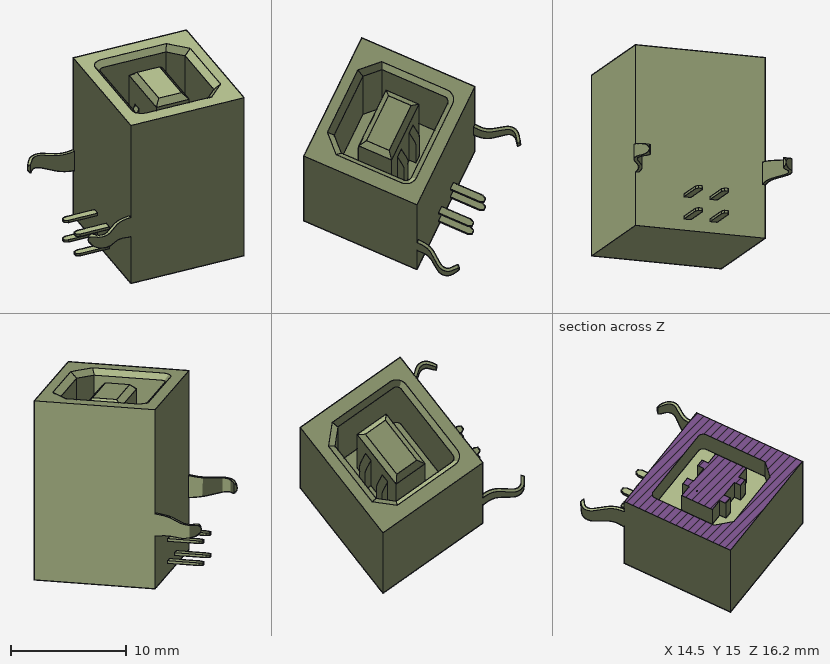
import cadquery as cq
import math

BODY_WIDTH = 12.0
BODY_DEPTH = 10.77
BODY_HEIGHT = 16.2
OVERALL_WIDTH = 14.48
OVERALL_DEPTH = 14.98

CAVITY_WIDTH = 8.45
CAVITY_FRONT = 1.57
CAVITY_BACK = 9.27
CAVITY_DEPTH = 10.0
CAVITY_CHAMFER = 1.25
CAVITY_RADIUS = 0.5
MOUTH_SIDE_FLARE = 0.49
MOUTH_BACK_FLARE = 0.57
MOUTH_CHAMFER = 1.55
MOUTH_DEPTH = 0.5
FLOOR_Z = BODY_HEIGHT - CAVITY_DEPTH

TONGUE_WIDTH = 5.65
TONGUE_FRONT = 3.87
TONGUE_BACK = 7.0
TONGUE_TOP = BODY_HEIGHT - 0.5
TONGUE_END_BEVEL = 0.55
TONGUE_SIDE_BEVEL = 0.49
TONGUE_BEVEL_HEIGHT = 0.5
TONGUE_MID_Y = (TONGUE_FRONT + TONGUE_BACK) / 2

CONTACT_SPACING = 2.43
CONTACT_X = (-CONTACT_SPACING / 2, CONTACT_SPACING / 2)
CONTACT_WIDTH = 0.8
CONTACT_PROJECTION = 0.63
CONTACT_TOP = 12.96
CONTACT_SLOPE = 71.0
CONTACT_SHOULDER_RADIUS = 2.92

PIN_LENGTH = 3.13
PIN_WIDTH = 0.65
PIN_THICKNESS = 0.25
PIN_TIP_LENGTH = 0.32
PIN_TIP_CHAMFER = 0.16
PIN_ROWS_Z = (1.12, 3.11)

CLIP_Z = 5.78
CLIP_THICKNESS = 0.29
CLIP_ROOT_HEIGHT = 2.0
CLIP_TIP_HEIGHT = 1.02
CLIP_REACH = OVERALL_DEPTH - BODY_DEPTH
CLIP_BULGE = (OVERALL_WIDTH - BODY_WIDTH) / 2
CLIP_TAPER_START = 0.06
CLIP_TIP_ROUND = 0.42
CLIP_ROOT_LENGTH = 0.47
CLIP_OUT_ANGLE = 37.0
CLIP_OUT_RADIUS = 1.8
CLIP_CREST_RADIUS = 1.05
CLIP_RETURN_ANGLE = 53.0
CLIP_RETURN_RADIUS = 0.9


def opening_outline(z, half_width, front, back, chamfer, radius):
    """Outline with two chamfered back corners and two round front corners."""
    mid = radius * (1 - math.sqrt(0.5))
    return (
        cq.Workplane("XY", origin=(0, 0, z))
        .moveTo(half_width - chamfer, back)
        .lineTo(half_width, back - chamfer)
        .lineTo(half_width, front + radius)
        .threePointArc((half_width - mid, front + mid), (half_width - radius, front))
        .lineTo(radius - half_width, front)
        .threePointArc((mid - half_width, front + mid), (-half_width, front + radius))
        .lineTo(-half_width, back - chamfer)
        .lineTo(chamfer - half_width, back)
        .close()
    )


def cavity():
    inner = (CAVITY_WIDTH / 2, CAVITY_FRONT, CAVITY_BACK, CAVITY_CHAMFER, CAVITY_RADIUS)
    outer = (
        CAVITY_WIDTH / 2 + MOUTH_SIDE_FLARE,
        CAVITY_FRONT - MOUTH_SIDE_FLARE,
        CAVITY_BACK + MOUTH_BACK_FLARE,
        MOUTH_CHAMFER,
        CAVITY_RADIUS + MOUTH_SIDE_FLARE,
    )
    mouth_bottom = BODY_HEIGHT - MOUTH_DEPTH
    well = opening_outline(FLOOR_Z, *inner).extrude(mouth_bottom - FLOOR_Z)
    mouth = cq.Solid.makeLoft(
        [
            opening_outline(mouth_bottom, *inner).wire().val(),
            opening_outline(BODY_HEIGHT, *outer).wire().val(),
        ],
        True,
    )
    return well.union(cq.Workplane(mouth))


def tongue():
    depth = TONGUE_BACK - TONGUE_FRONT
    bevel_bottom = TONGUE_TOP - TONGUE_BEVEL_HEIGHT
    shank = (
        cq.Workplane("XY", origin=(0, TONGUE_MID_Y, FLOOR_Z))
        .rect(TONGUE_WIDTH, depth)
        .extrude(bevel_bottom - FLOOR_Z)
    )
    bevel = (
        cq.Workplane("XY", origin=(0, TONGUE_MID_Y, bevel_bottom))
        .rect(TONGUE_WIDTH, depth)
        .workplane(offset=TONGUE_BEVEL_HEIGHT)
        .rect(TONGUE_WIDTH - 2 * TONGUE_END_BEVEL, depth - 2 * TONGUE_SIDE_BEVEL)
        .loft(ruled=True)
    )
    return shank.union(bevel)


def back_contact(x):
    """Rib on the back of the tongue with a steep top easing into its back face."""
    outer = TONGUE_BACK + CONTACT_PROJECTION
    drop = CONTACT_PROJECTION * math.tan(math.radians(CONTACT_SLOPE))
    rib = (
        cq.Workplane("YZ", origin=(x - CONTACT_WIDTH / 2, 0, 0))
        .moveTo(TONGUE_MID_Y, FLOOR_Z)
        .lineTo(outer, FLOOR_Z)
        .lineTo(outer, CONTACT_TOP - drop)
        .lineTo(TONGUE_BACK, CONTACT_TOP)
        .lineTo(TONGUE_MID_Y, CONTACT_TOP)
        .close()
        .extrude(CONTACT_WIDTH)
    )
    shoulder = cq.selectors.NearestToPointSelector((x, outer, CONTACT_TOP - drop))
    return rib.edges("|X").edges(shoulder).fillet(CONTACT_SHOULDER_RADIUS)


def pin(x, z):
    half = PIN_WIDTH / 2
    tip_half = half - PIN_TIP_CHAMFER
    shoulder = PIN_TIP_LENGTH - PIN_LENGTH
    return (
        cq.Workplane("XY", origin=(x, 0, z - PIN_THICKNESS / 2))
        .polyline([
            (-half, 0), (half, 0), (half, shoulder),
            (tip_half, -PIN_LENGTH), (-tip_half, -PIN_LENGTH), (-half, shoulder),
        ])
        .close()
        .extrude(PIN_THICKNESS)
    )


def left_clip():
    """Strip bent outwards, then back inwards, cut to a tapered outline."""

    def heading(degrees):
        """Unit vector at an angle from -Y, positive towards -X."""
        return cq.Vector(-math.sin(math.radians(degrees)), -math.cos(math.radians(degrees)))

    def outward(degrees):
        """Unit vector square to the heading, on the outer side of the strip."""
        return heading(degrees + 90)

    root = cq.Vector(-BODY_WIDTH / 2, 0)
    out_centre = root + cq.Vector(-CLIP_OUT_RADIUS, -CLIP_ROOT_LENGTH)
    out_end = out_centre - outward(CLIP_OUT_ANGLE) * CLIP_OUT_RADIUS
    crest_x = root.x - CLIP_BULGE
    crest_start_x = crest_x + CLIP_CREST_RADIUS + outward(CLIP_OUT_ANGLE).x * CLIP_CREST_RADIUS
    straight = (crest_start_x - out_end.x) / heading(CLIP_OUT_ANGLE).x
    crest_start = out_end + heading(CLIP_OUT_ANGLE) * straight
    crest_centre = crest_start - outward(CLIP_OUT_ANGLE) * CLIP_CREST_RADIUS
    return_centre = cq.Vector(crest_x + CLIP_RETURN_RADIUS, crest_centre.y)
    return_end = return_centre + outward(-CLIP_RETURN_ANGLE) * CLIP_RETURN_RADIUS
    tip_length = (return_end.y + CLIP_REACH) / -heading(-CLIP_RETURN_ANGLE).y
    tip = return_end + heading(-CLIP_RETURN_ANGLE) * tip_length

    def out_bend(degrees, inset):
        return out_centre - outward(degrees) * (CLIP_OUT_RADIUS + inset)

    def crest_bend(degrees, inset):
        return crest_centre + outward(degrees) * (CLIP_CREST_RADIUS - inset)

    def return_bend(degrees, inset):
        return return_centre + outward(degrees) * (CLIP_RETURN_RADIUS - inset)

    inner = CLIP_THICKNESS
    half_out = CLIP_OUT_ANGLE / 2
    half_return = CLIP_RETURN_ANGLE / 2
    inner_tip = tip - outward(-CLIP_RETURN_ANGLE) * inner
    inner_return = return_bend(-CLIP_RETURN_ANGLE, inner)
    inner_crest = crest_bend(CLIP_OUT_ANGLE, inner)
    inner_out = out_bend(CLIP_OUT_ANGLE, inner)
    strip = (
        cq.Workplane("XY", origin=(0, 0, CLIP_Z - CLIP_ROOT_HEIGHT / 2))
        .moveTo(root.x, root.y)
        .lineTo(root.x, -CLIP_ROOT_LENGTH)
        .threePointArc(out_bend(half_out, 0), out_end)
        .lineTo(crest_start.x, crest_start.y)
        .threePointArc(crest_bend(half_out, 0), crest_bend(0, 0))
        .threePointArc(return_bend(-half_return, 0), return_end)
        .lineTo(tip.x, tip.y)
        .lineTo(inner_tip.x, inner_tip.y)
        .lineTo(inner_return.x, inner_return.y)
        .threePointArc(return_bend(-half_return, inner), return_bend(0, inner))
        .threePointArc(crest_bend(half_out, inner), inner_crest)
        .lineTo(inner_out.x, inner_out.y)
        .threePointArc(out_bend(half_out, inner), out_bend(0, inner))
        .lineTo(root.x + inner, root.y)
        .close()
        .extrude(CLIP_ROOT_HEIGHT)
    )
    root_half = CLIP_ROOT_HEIGHT / 2
    tip_half = CLIP_TIP_HEIGHT / 2
    round_start = CLIP_TIP_ROUND - CLIP_REACH
    outline = (
        cq.Workplane("YZ", origin=(-OVERALL_WIDTH / 2, 0, CLIP_Z))
        .moveTo(0, root_half)
        .lineTo(-CLIP_TAPER_START, root_half)
        .lineTo(round_start, tip_half)
        .threePointArc((-CLIP_REACH, 0), (round_start, -tip_half))
        .lineTo(-CLIP_TAPER_START, -root_half)
        .lineTo(0, -root_half)
        .close()
        .extrude(OVERALL_WIDTH / 2)
    )
    return strip.intersect(outline)


result = cq.Workplane("XY").box(BODY_WIDTH, BODY_DEPTH, BODY_HEIGHT, centered=(True, False, False))
result = result.cut(cavity()).union(tongue())

for contact_x in CONTACT_X:
    contact = back_contact(contact_x)
    result = result.union(contact)
    result = result.union(contact.mirror("XZ", (0, TONGUE_MID_Y, 0)))
    for pin_z in PIN_ROWS_Z:
        result = result.union(pin(contact_x, pin_z))

clip = left_clip()
result = result.union(clip).union(clip.mirror("YZ"))